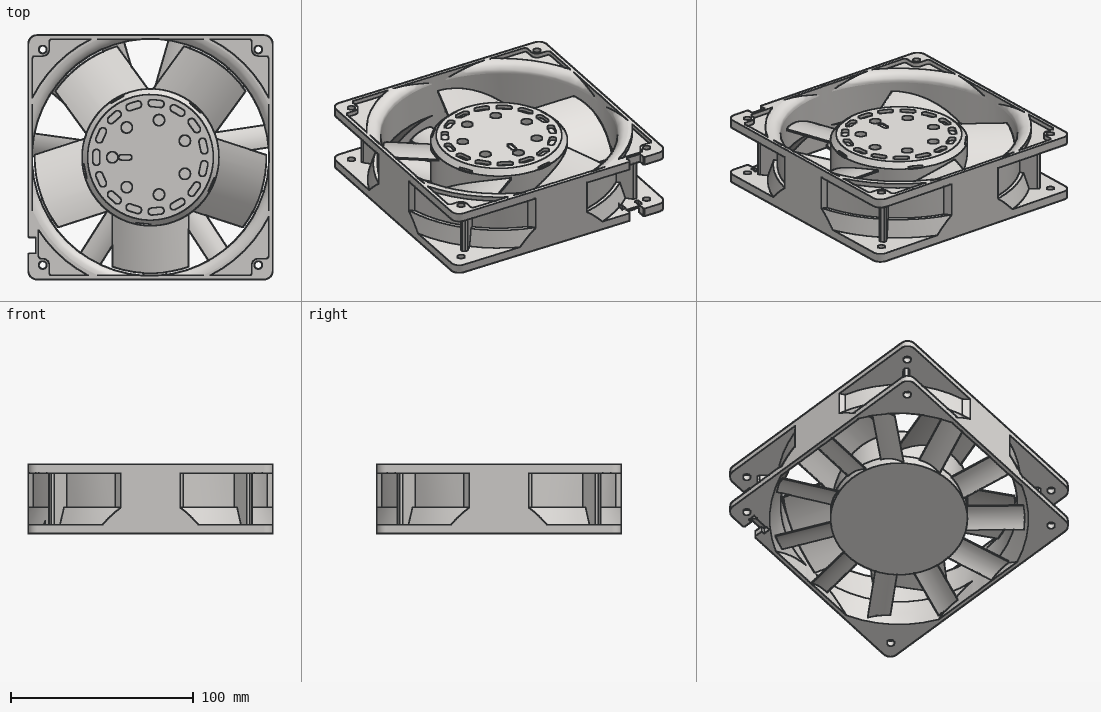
import cadquery as cq

SIDE = 134.0
HEIGHT = 38.0
HALF = SIDE / 2
CORNER_RADIUS = 5.0
FLANGE = 5.0
FLANGE_TOP = HEIGHT - FLANGE

DUCT_RADIUS = 64.9
RING_RADIUS = 66.7
WEB_HALF = 16.2
WEB_DEPTH = 4.0
WEB_WIDE_RUN = 4.0
WEB_NARROW_RUN = 2.7
CONE_TOP = 14.5
CONE_TOP_RADIUS = 68.9
CONE_BASE_RADIUS = 72.0
RIB_HALF = 1.9
RIB_END = 77.7
RIB_START = 63.0
RIB_CHAMFER_ALONG = 1.3
RIB_CHAMFER_ACROSS = 1.0

EDGE_WALL = 2.3
INNER_HALF = HALF - EDGE_WALL
MOUTH_RADIUS = 70.9
LOWER_MOUTH_RADIUS = 70.9
LOWER_MOUTH_HEIGHT = 12.9

HOLE_PITCH = 118.0
HOLE_DIAMETER = 4.2
POCKET_DEPTH = 2.5
POCKET_RADIUS = 72.5
NOTCH_POCKET_RADIUS = 73.2
BOSS_HALF = 55.5
BOSS_ROUND = 3.6
POCKET_ROUND = 1.5

NOTCH_Y = -48.2
NOTCH_WIDTH = 8.6
NOTCH_DEPTH = 4.0
NOTCH_WALL = 1.6
NOTCH_UNDERCUT = FLANGE
NOTCH_CHAMFER = 0.5
SLIT_INNER_X = -57.6
SLIT_OUTER_X = -61.6
SLIT_WIDTH = 2.3
SLIT_OFFSET = 5.1

HUB_RADIUS = 37.5
BASE_HEIGHT = 6.4
VANE_COUNT = 11
VANE_ANGLE = 8.5
VANE_HIGH = (-4.3, 5.6)
VANE_MIDDLE = (2.7, 4.4)
VANE_LOW = (8.3, 1.0)
VANE_THICKNESS = 1.0
VANE_END = 69.7

HUB_TOP = 33.1
HUB_CHAMFER = 3.1
BLADE_COUNT = 5
BLADE_ANGLE = -90.0
BLADE_TIP_RADIUS = 63.5
BLADE_LOW = (-20.9, 10.6)
BLADE_MIDDLE = (0.0, 23.6)
BLADE_HIGH = (20.9, 28.1)
BLADE_THICKNESS = 1.0
SHEET_START = 26.8

HUB_HOLE_COUNT = 7
HUB_HOLE_DIAMETER = 6.2
HUB_HOLE_RING = 20.9
HUB_HOLE_DEPTH = 5.4
HUB_SLOT_COUNT = 15
HUB_SLOT_LENGTH = 8.7
HUB_SLOT_WIDTH = 3.9
HUB_SLOT_RING = 29.6
HUB_SLOT_DEPTH = 2.0
MARK_INNER = 10.2
MARK_OUTER = 17.4
MARK_WIDTH = 3.0
MARK_DEPTH = 0.7
STEP_DISTANCE = 36.5
STEP_FLOOR = 29.7
STEP_WIDTH = 8.0
STEP_LAG = 6.2


def cylinder(radius, bottom, top):
    return cq.Workplane("XY", origin=(0, 0, bottom)).circle(radius).extrude(top - bottom)


def square_plate(half, bottom, top):
    return cq.Workplane("XY", origin=(0, 0, bottom)).rect(2 * half, 2 * half).extrude(top - bottom)


def spin(profile):
    """Revolve a closed (radius, height) outline about the fan axis."""
    return profile.close().revolve(360, (0, 0, 0), (0, 1, 0))


def curved_sheet(start, middle, end, thickness, length, angle):
    """Sheet whose section follows an arc, drawn out along the radial direction at `angle`."""
    half = thickness / 2

    def moved(point, step):
        return (point[0], point[1] + step)

    sheet = (
        cq.Workplane("XZ")
        .moveTo(*moved(start, half))
        .threePointArc(moved(middle, half), moved(end, half))
        .lineTo(*moved(end, -half))
        .threePointArc(moved(middle, -half), moved(start, -half))
        .close()
        .extrude(length - SHEET_START)
        .translate((0, -SHEET_START, 0))
    )
    return sheet.rotate((0, 0, 0), (0, 0, 1), angle + 90)


def make_walls():
    """Ring, flat side walls, corner ribs and lower cone that join the two flanges."""
    walls = cylinder(RING_RADIUS, 0, HEIGHT)
    cone = spin(
        cq.Workplane("XZ")
        .moveTo(0, FLANGE)
        .lineTo(CONE_BASE_RADIUS, FLANGE)
        .lineTo(CONE_TOP_RADIUS, CONE_TOP)
        .lineTo(0, CONE_TOP)
    )
    walls = walls.union(cone)
    web = (
        cq.Workplane("XY")
        .moveTo(-WEB_HALF, HALF)
        .lineTo(WEB_HALF, HALF)
        .lineTo(WEB_HALF + WEB_WIDE_RUN, HALF - WEB_DEPTH)
        .lineTo(-WEB_HALF - WEB_NARROW_RUN, HALF - WEB_DEPTH)
        .close()
        .extrude(HEIGHT)
    )
    rib = (
        cq.Workplane("XY")
        .moveTo(RIB_START, RIB_HALF)
        .lineTo(RIB_END - RIB_CHAMFER_ALONG, RIB_HALF)
        .lineTo(RIB_END, RIB_HALF - RIB_CHAMFER_ACROSS)
        .lineTo(RIB_END, RIB_CHAMFER_ACROSS - RIB_HALF)
        .lineTo(RIB_END - RIB_CHAMFER_ALONG, -RIB_HALF)
        .lineTo(RIB_START, -RIB_HALF)
        .close()
        .extrude(HEIGHT)
    )
    for quarter in range(4):
        walls = walls.union(web.rotate((0, 0, 0), (0, 0, 1), 90 * quarter))
        walls = walls.union(rib.rotate((0, 0, 0), (0, 0, 1), 90 * quarter + 45))
    return walls.intersect(square_plate(HALF, 0, HEIGHT))


def make_envelope():
    """Walls and flanges before the duct is bored."""
    flanges = square_plate(HALF, 0, FLANGE).union(square_plate(HALF, FLANGE_TOP, HEIGHT))
    flanges = flanges.edges("|Z").fillet(CORNER_RADIUS)
    return flanges.union(make_walls())


def make_duct():
    """Bore with a rounded upper and a conical lower mouth, both trimmed square at the sides."""
    upper = spin(
        cq.Workplane("XZ")
        .moveTo(0, FLANGE_TOP)
        .lineTo(DUCT_RADIUS, FLANGE_TOP)
        .ellipseArc(MOUTH_RADIUS - DUCT_RADIUS, FLANGE, 90, 180, sense=-1)
        .lineTo(0, HEIGHT)
    )
    lower = spin(
        cq.Workplane("XZ")
        .lineTo(LOWER_MOUTH_RADIUS, 0)
        .lineTo(DUCT_RADIUS, LOWER_MOUTH_HEIGHT)
        .lineTo(0, LOWER_MOUTH_HEIGHT)
    )
    mouths = upper.union(lower).intersect(square_plate(INNER_HALF, 0, HEIGHT))
    return mouths.union(cylinder(DUCT_RADIUS, 0, HEIGHT))


def corner_pocket(sign_x, sign_y, side_half, inner_radius):
    """Recess in the upper flange, between the duct mouth and a mounting boss."""
    floor = HEIGHT - POCKET_DEPTH
    block = (
        cq.Workplane("XY", origin=(0, 0, floor))
        .moveTo(0, 0)
        .lineTo(side_half, 0)
        .lineTo(side_half, BOSS_HALF)
        .lineTo(BOSS_HALF, BOSS_HALF)
        .lineTo(BOSS_HALF, INNER_HALF)
        .lineTo(0, INNER_HALF)
        .close()
        .extrude(POCKET_DEPTH)
    )
    boss_corner = cq.selectors.NearestToPointSelector((BOSS_HALF, BOSS_HALF, floor + POCKET_DEPTH / 2))
    block = block.edges(boss_corner).fillet(BOSS_ROUND)
    for x, y in [(side_half, BOSS_HALF), (BOSS_HALF, INNER_HALF)]:
        end = cq.selectors.NearestToPointSelector((x, y, floor + POCKET_DEPTH / 2))
        block = block.edges(end).fillet(POCKET_ROUND)
    pocket = block.cut(cylinder(inner_radius, 0, HEIGHT))
    if sign_x < 0:
        pocket = pocket.mirror("YZ")
    if sign_y < 0:
        pocket = pocket.mirror("XZ")
    return pocket


def cut_cable_passage(housing):
    """Notch through both flanges, undercut in the lower one, with a slit on either side."""
    floor_x = NOTCH_DEPTH - HALF
    upper = cq.Workplane("XY").box(NOTCH_DEPTH, NOTCH_WIDTH, FLANGE, centered=(False, True, False))
    upper = upper.translate((-HALF, NOTCH_Y, FLANGE_TOP))
    lower = (
        cq.Workplane("XZ", origin=(0, NOTCH_Y + NOTCH_WIDTH / 2, 0))
        .moveTo(-HALF, 0)
        .lineTo(floor_x + NOTCH_UNDERCUT, 0)
        .lineTo(floor_x, FLANGE)
        .lineTo(-HALF, FLANGE)
        .close()
        .extrude(NOTCH_WIDTH)
    )
    half_mouth = NOTCH_WIDTH / 2 + NOTCH_CHAMFER
    mouth = (
        cq.Workplane("XY", origin=(-HALF, NOTCH_Y, 0))
        .moveTo(0, -half_mouth)
        .lineTo(NOTCH_CHAMFER, -NOTCH_WIDTH / 2)
        .lineTo(NOTCH_CHAMFER, NOTCH_WIDTH / 2)
        .lineTo(0, half_mouth)
        .close()
        .extrude(HEIGHT)
    )
    housing = housing.cut(upper).cut(lower).cut(mouth)
    for side in (-1, 1):
        slit = cq.Workplane("XY").box(
            SLIT_INNER_X - SLIT_OUTER_X, SLIT_WIDTH, CONE_TOP, centered=(False, True, False)
        )
        housing = housing.cut(slit.translate((SLIT_OUTER_X, NOTCH_Y + side * SLIT_OFFSET, 0)))
    return housing


def make_housing():
    envelope = make_envelope()
    housing = envelope.cut(make_duct())
    holes = cq.Workplane("XY").rect(HOLE_PITCH, HOLE_PITCH, forConstruction=True).vertices()
    hole_tools = holes.circle(HOLE_DIAMETER / 2).extrude(FLANGE)
    housing = housing.cut(hole_tools).cut(hole_tools.translate((0, 0, FLANGE_TOP)))
    for sign_x in (-1, 1):
        for sign_y in (-1, 1):
            beside_notch = sign_x < 0 and sign_y < 0
            side_half = HALF - NOTCH_DEPTH - NOTCH_WALL if beside_notch else INNER_HALF
            inner_radius = NOTCH_POCKET_RADIUS if beside_notch else POCKET_RADIUS
            housing = housing.cut(corner_pocket(sign_x, sign_y, side_half, inner_radius))
    housing = cut_cable_passage(housing)
    stator = cylinder(HUB_RADIUS, 0, BASE_HEIGHT)
    for index in range(VANE_COUNT):
        angle = VANE_ANGLE + 360 / VANE_COUNT * index
        vane = curved_sheet(VANE_HIGH, VANE_MIDDLE, VANE_LOW, VANE_THICKNESS, VANE_END, angle)
        stator = stator.union(vane)
    trim = cylinder(CONE_TOP_RADIUS, 0, BASE_HEIGHT).intersect(square_plate(HALF, 0, BASE_HEIGHT))
    return housing.union(stator.intersect(trim))


def make_hub():
    hub = cylinder(HUB_RADIUS, BASE_HEIGHT, HUB_TOP).faces(">Z").chamfer(HUB_CHAMFER)
    top = cq.Workplane("XY", origin=(0, 0, HUB_TOP))
    holes = (
        top.polarArray(HUB_HOLE_RING, 180, 360, HUB_HOLE_COUNT)
        .circle(HUB_HOLE_DIAMETER / 2)
        .extrude(-HUB_HOLE_DEPTH)
    )
    slots = (
        top.polarArray(HUB_SLOT_RING, 180, 360, HUB_SLOT_COUNT)
        .slot2D(HUB_SLOT_LENGTH, HUB_SLOT_WIDTH, 90)
        .extrude(-HUB_SLOT_DEPTH)
    )
    mark = (
        top.center(-(MARK_INNER + MARK_OUTER) / 2, 0)
        .slot2D(MARK_OUTER - MARK_INNER, MARK_WIDTH)
        .extrude(-MARK_DEPTH)
    )
    return hub.cut(holes).cut(slots).cut(mark)


def make_rotor():
    rotor = make_hub()
    sweep = cylinder(BLADE_TIP_RADIUS, BASE_HEIGHT, HUB_TOP)
    step = cq.Workplane("XY").box(
        HUB_RADIUS - STEP_DISTANCE, STEP_WIDTH, HUB_TOP - STEP_FLOOR, centered=(False, True, False)
    )
    step = step.translate((STEP_DISTANCE, 0, STEP_FLOOR))
    for index in range(BLADE_COUNT):
        angle = BLADE_ANGLE + 360 / BLADE_COUNT * index
        rotor = rotor.cut(step.rotate((0, 0, 0), (0, 0, 1), angle - STEP_LAG))
        blade = curved_sheet(BLADE_LOW, BLADE_MIDDLE, BLADE_HIGH, BLADE_THICKNESS, HALF, angle)
        rotor = rotor.union(blade.intersect(sweep))
    return rotor


housing = make_housing()
rotor = make_rotor()
result = cq.Compound.makeCompound([housing.val(), rotor.val()])